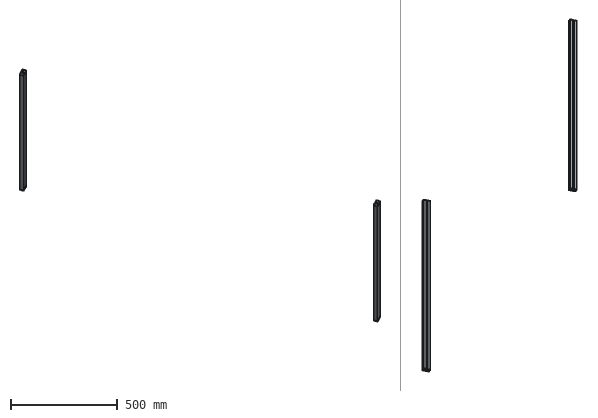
import cadquery as cq

overall_length = 1846.0
rail_width = 33.0
rail_height = 914.0

rail_thickness = 20.0
groove_width = 7.0
groove_depth = 13.0

rail_spacing = overall_length - rail_thickness


def make_rail(center_x):
    """Upright rail with a full-height groove opening toward -X."""
    body = cq.Workplane("XY").box(rail_thickness, rail_width, rail_height)
    groove = (
        cq.Workplane("XY")
        .box(groove_depth, groove_width, rail_height)
        .translate(((groove_depth - rail_thickness) / 2, 0, 0))
    )
    return body.cut(groove).translate((center_x, 0, 0))


rails = [make_rail(side * rail_spacing / 2) for side in (-1, 1)]

result = cq.Compound.makeCompound([rail.val() for rail in rails])